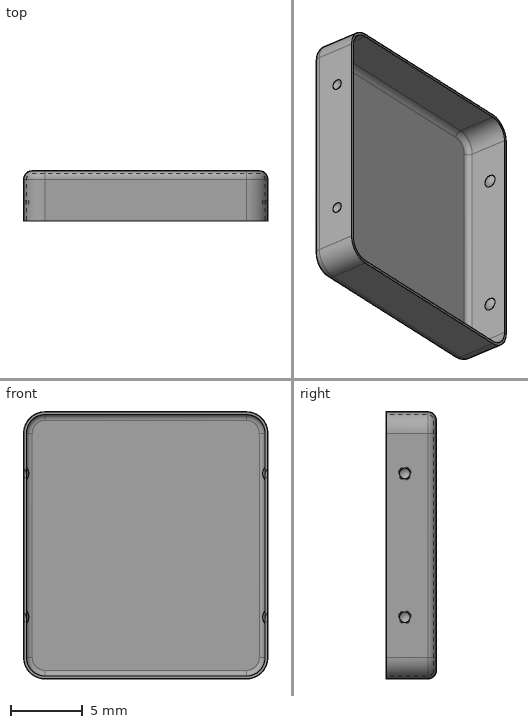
import cadquery as cq

width = 17.0
depth = 3.5
height = 18.6
wall = 0.2
corner_radius = 1.5
floor_edge_radius = 0.6

dimple_radius = 0.5
dimple_depth = 0.164
dimple_spacing = 10.0
dimple_from_rim = 1.3
bump_radius = dimple_radius + wall
sphere_center_x = width / 2 + dimple_radius - dimple_depth


def rounded_block(inset):
    """Tray body shrunk by the inset on every side but the open one, which stays on Y = 0."""
    block_depth = depth - inset
    block = cq.Workplane("XY").box(width - 2 * inset, block_depth, height - 2 * inset)
    block = block.translate((0, block_depth / 2, 0))
    block = block.edges("|Y").fillet(corner_radius - inset)
    return block.faces(">Y").edges().fillet(floor_edge_radius - inset)


def cut_side_spheres(block, radius):
    """Cut a sphere at each dimple; the centres lie just outside the tray's side walls."""
    for side in (-1, 1):
        for end in (-1, 1):
            center = (side * sphere_center_x, dimple_from_rim, end * dimple_spacing / 2)
            sphere = cq.Workplane("XY").sphere(radius, direct=(0, 1, 0)).translate(center)
            block = block.cut(sphere, clean=False)
    return block


outer_body = cut_side_spheres(rounded_block(0), dimple_radius)

cavity = cut_side_spheres(rounded_block(wall), bump_radius)

result = outer_body.cut(cavity, clean=False)